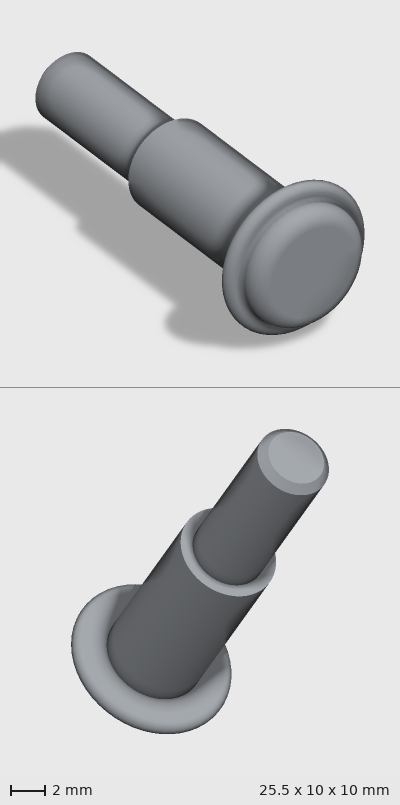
import cadquery as cq
import math

pin_length = 11.0
shank_length = 12.0
flange_thickness = 1.0
head_height = 1.5

pin_radius = 4.5 / 2
shank_radius = 6.0 / 2
flange_radius = 10.0 / 2
head_radius = 8.0 / 2

tip_chamfer = 0.5
flange_round = flange_thickness / 2
head_root_fillet = 0.25
head_edge_round = 1.0

shank_start = pin_length
flange_start = shank_start + shank_length
flange_end = flange_start + flange_thickness
head_end = flange_end + head_height

ARC_MID = math.sqrt(0.5)


def half_profile():
    """Closed outline of half the lengthwise section: X along the axis, Y as the radius."""
    rim_center_radius = flange_radius - flange_round
    root_center_x = flange_end + head_root_fillet
    root_center_radius = head_radius + head_root_fillet
    edge_center_x = head_end - head_edge_round
    edge_center_radius = head_radius - head_edge_round

    outline = cq.Workplane("XY").moveTo(0, 0)

    outline = (
        outline.lineTo(0, pin_radius - tip_chamfer)
        .lineTo(tip_chamfer, pin_radius)
        .lineTo(shank_start, pin_radius)
        .lineTo(shank_start, shank_radius)
        .lineTo(flange_start, shank_radius)
    )

    rim_mid_radius = rim_center_radius + flange_round * ARC_MID
    rim_center_x = flange_start + flange_round
    outline = (
        outline.lineTo(flange_start, rim_center_radius)
        .threePointArc(
            (rim_center_x - flange_round * ARC_MID, rim_mid_radius),
            (rim_center_x, flange_radius),
        )
        .threePointArc(
            (rim_center_x + flange_round * ARC_MID, rim_mid_radius),
            (flange_end, rim_center_radius),
        )
    )

    outline = (
        outline.lineTo(flange_end, root_center_radius)
        .threePointArc(
            (
                root_center_x - head_root_fillet * ARC_MID,
                root_center_radius - head_root_fillet * ARC_MID,
            ),
            (root_center_x, head_radius),
        )
        .lineTo(edge_center_x, head_radius)
        .threePointArc(
            (
                edge_center_x + head_edge_round * ARC_MID,
                edge_center_radius + head_edge_round * ARC_MID,
            ),
            (head_end, edge_center_radius),
        )
        .lineTo(head_end, 0)
    )
    return outline.close()


result = half_profile().revolve(360, (0, 0, 0), (1, 0, 0))